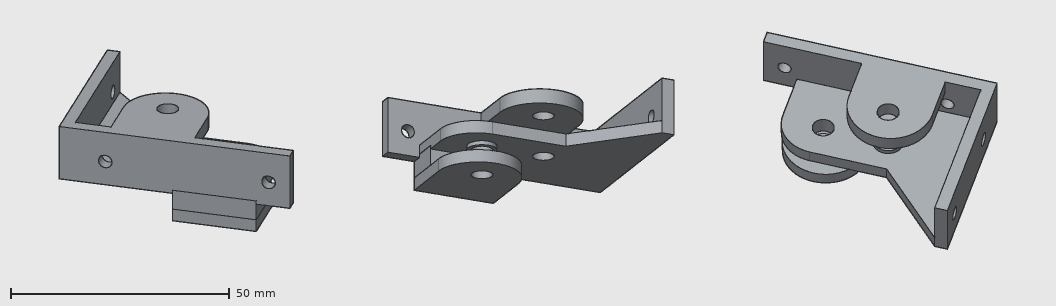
import cadquery as cq

length_x = 55.0
length_y = 40.5
wall_height = 13.5
thickness = 3.0
upper_ear_thickness = 3.5

screw_diameter = 3.2
screw_height = 6.0
front_screw_x = (11.0, 49.95)
side_screw_y = (11.0, 34.5)

ear_width = 19.95
ear_radius = ear_width / 2
ear_reach = 23.5
ear_center_y = ear_reach - ear_radius
upper_pivot_x = 21.5
lower_pivot_x = 37.0
pivot_y = 15.5
pivot_diameter = 5.0

plate_end_x = lower_pivot_x + ear_radius
plate_corner_radius = 9.0
gusset_end_x = 19.5

hinge_gap = 4.0
spacer_depth = 8.95
spacer_tongue = 0.8
pad_diameter = 7.0
pad_height = 1.0


def make_ear(pivot_x, bottom_z, ear_thickness):
    """Flat ear with a round end, reaching inward from the front face."""
    left = pivot_x - ear_radius
    right = pivot_x + ear_radius
    return (
        cq.Workplane("XY", origin=(0, 0, bottom_z))
        .moveTo(left, 0)
        .lineTo(right, 0)
        .lineTo(right, ear_center_y)
        .threePointArc((pivot_x, ear_reach), (left, ear_center_y))
        .close()
        .extrude(ear_thickness)
    )


def make_cylinder(x, y, bottom_z, diameter, height):
    return cq.Workplane("XY", origin=(x, y, bottom_z)).circle(diameter / 2).extrude(height)


def cut_pivot_hole(body, pivot_x):
    """Cut a vertical pivot hole through the full height of a body."""
    bottom_z = -hinge_gap - thickness
    return body.cut(make_cylinder(pivot_x, pivot_y, bottom_z, pivot_diameter, wall_height - bottom_z))


def make_base_plate():
    """Floor with a slanted gusset edge and one rounded corner."""
    plate = (
        cq.Workplane("XY")
        .polyline([
            (0, 0),
            (plate_end_x, 0),
            (plate_end_x, ear_reach),
            (gusset_end_x, ear_reach),
            (thickness, length_y),
            (0, length_y),
        ])
        .close()
        .extrude(thickness)
    )
    corner = cq.selectors.NearestToPointSelector((plate_end_x, ear_reach, thickness / 2))
    return plate.edges("|Z").edges(corner).fillet(plate_corner_radius)


def make_spacer():
    """Block between bracket and lower ear, with its top set into the bracket."""
    return cq.Workplane("XY").box(
        ear_width, spacer_depth, hinge_gap + spacer_tongue, centered=(True, False, False)
    ).translate((lower_pivot_x, 0, -hinge_gap))


def make_bracket(spacer):
    front_wall = cq.Workplane("XY").box(length_x, thickness, wall_height, centered=False)
    side_wall = cq.Workplane("XY").box(thickness, length_y, wall_height, centered=False)
    lower_pad = make_cylinder(lower_pivot_x, pivot_y, -pad_height, pad_diameter, pad_height)
    body = front_wall.union(side_wall).union(make_base_plate())
    body = body.union(make_ear(upper_pivot_x, wall_height - upper_ear_thickness, upper_ear_thickness))
    upper_pad = make_cylinder(upper_pivot_x, pivot_y, thickness, pad_diameter, pad_height)
    body = body.union(upper_pad).union(lower_pad)

    for pivot_x in (upper_pivot_x, lower_pivot_x):
        body = cut_pivot_hole(body, pivot_x)

    front_screws = (
        cq.Workplane("XZ")
        .pushPoints([(x, screw_height) for x in front_screw_x])
        .circle(screw_diameter / 2)
        .extrude(-thickness)
    )
    side_screws = (
        cq.Workplane("YZ")
        .pushPoints([(y, screw_height) for y in side_screw_y])
        .circle(screw_diameter / 2)
        .extrude(thickness)
    )
    return body.cut(front_screws).cut(side_screws).cut(spacer)


def make_lower_ear():
    top_z = -hinge_gap
    pad = make_cylinder(lower_pivot_x, pivot_y, top_z, pad_diameter, pad_height)
    body = make_ear(lower_pivot_x, top_z - thickness, thickness).union(pad)
    return cut_pivot_hole(body, lower_pivot_x)


spacer = make_spacer()
bracket = make_bracket(spacer)
lower_ear = make_lower_ear()

result = cq.Compound.makeCompound([bracket.val(), spacer.val(), lower_ear.val()])